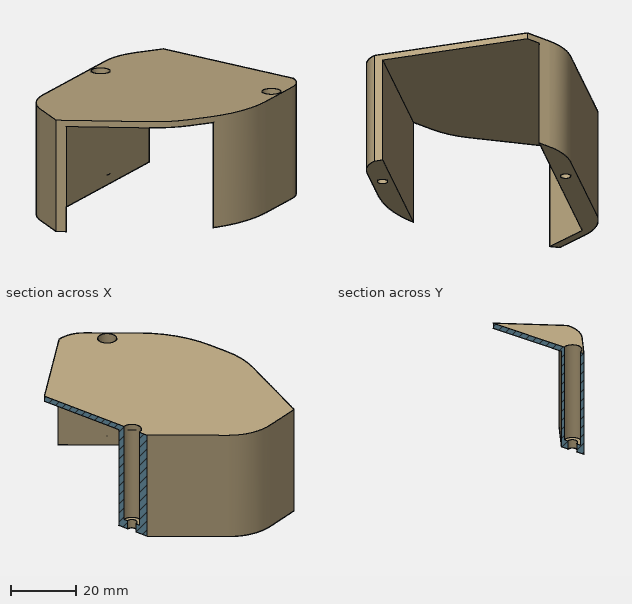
import cadquery as cq
import math

length_x = 68.4
length_y = 83.7
height = 36.0

plate_thickness = 2.0
side_wall = 6.7
bottom_wall = 2.85

slant_run = 0.755
low_slant_x = 32.5
high_slant_x = 48.1
left_corner_y = 58.8
bottom_corner_x = 52.6
end_run = 0.5
end_angle = math.radians(30)

left_radius = 20.0
bottom_radius = 16.1
lower_right_radius = 26.8
upper_right_radius = 36.0
top_radius = 9.6

hole_diameter = 3.2
bore_diameter = 5.9
bore_floor = 3.0
hole_centers = [(12.6, 32.3), (52.5, 72.2)]

left_corner = (0, left_corner_y)
low_left = (0, low_slant_x / slant_run)
low_bottom = (low_slant_x, 0)
bottom_corner = (bottom_corner_x, 0)
lower_right = (length_x, (length_x - bottom_corner_x) / end_run)
upper_right = (length_x, length_y - (length_x - high_slant_x) / slant_run)
top_right = (high_slant_x, length_y)
top_left = ((length_y - left_corner_y) / math.tan(end_angle), length_y)


def round_corner(body, corner, radius):
    """Round the upright edge that stands on the given XY corner."""
    point = (corner[0], corner[1], height / 2)
    edge = cq.selectors.NearestToPointSelector(point)
    return body.edges("|Z").edges(edge).fillet(radius)


def make_body():
    corners = [left_corner, low_left, low_bottom, bottom_corner,
               lower_right, upper_right, top_right, top_left]
    body = cq.Workplane("XY").polyline(corners).close().extrude(height)
    body = round_corner(body, low_left, left_radius)
    body = round_corner(body, low_bottom, bottom_radius)
    body = round_corner(body, lower_right, lower_right_radius)
    body = round_corner(body, upper_right, upper_right_radius)
    return round_corner(body, top_right, top_radius)


def make_channel():
    """Space below the plate between the slanted walls, open at both ends."""
    wall_run = side_wall * math.hypot(1, slant_run)
    low_x = low_slant_x + wall_run
    high_x = high_slant_x - wall_run
    high_exit_y = length_y - (length_x - high_x) / slant_run
    overshoot = length_x
    outer_x = length_x + overshoot
    outer_y = length_y + overshoot
    corners = [
        (low_x - slant_run * bottom_wall, bottom_wall),
        (outer_x, bottom_wall),
        (outer_x, high_exit_y),
        (length_x, high_exit_y),
        (high_x - slant_run * overshoot, outer_y),
        (low_x - slant_run * outer_y, outer_y),
    ]
    return cq.Workplane("XY").polyline(corners).close().extrude(height - plate_thickness)


def cut_screw_holes(body):
    bore_depth = height - bore_floor
    top_face = body.faces(">Z").workplane(origin=(0, 0, height))
    return top_face.pushPoints(hole_centers).cboreHole(hole_diameter, bore_diameter, bore_depth)


result = cut_screw_holes(make_body().cut(make_channel()))